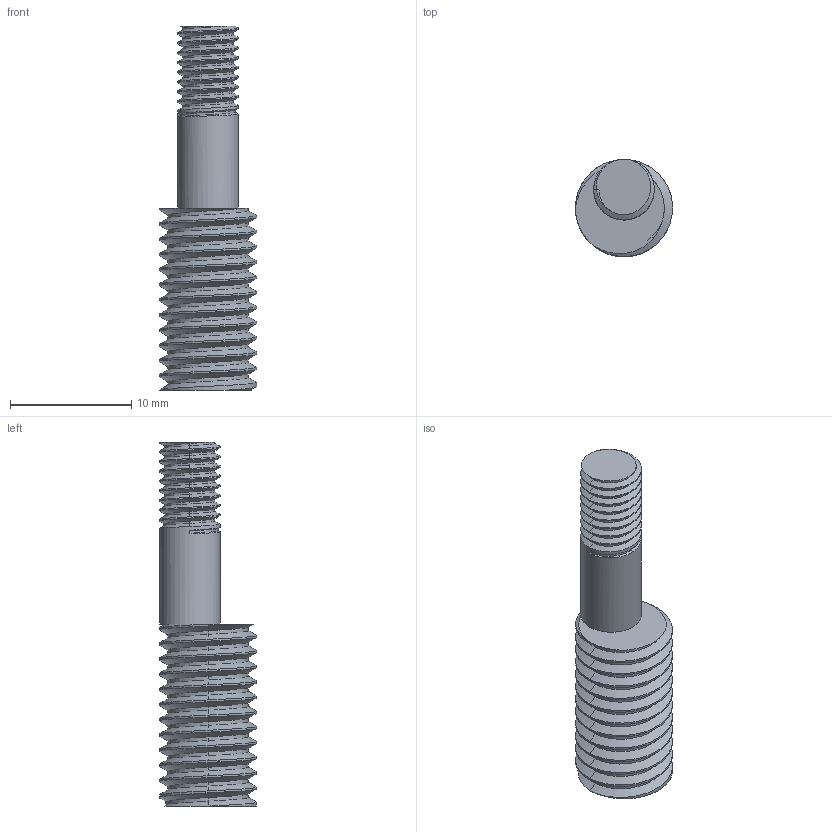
import cadquery as cq
import math

STUD_DIAMETER = 8.0
STUD_LENGTH = 15.0
STUD_PITCH = 1.25
STUD_THREAD_START = -0.71

PIN_DIAMETER = 5.0
PIN_LENGTH = 15.0
PIN_PITCH = 0.8
PIN_THREAD_START = 7.58
PIN_OFFSET = (STUD_DIAMETER - PIN_DIAMETER) / 2

CREST_FLAT_RATIO = 1 / 8
ROOT_FLAT_RATIO = 1 / 4
THREAD_ANGLE = 60
FLANK_SLOPE = math.tan(math.radians(THREAD_ANGLE / 2))
DEPTH_RATIO = (1 - CREST_FLAT_RATIO - ROOT_FLAT_RATIO) / (2 * FLANK_SLOPE)
RUNOUT_START_DEPTH = 0.08
CUTTER_OVERSHOOT = 0.03


def helix_turn(start_radius, start_z, end_radius, end_z):
    """One right-hand turn of a cylindrical or conical helix, starting at -X."""
    rise = end_z - start_z
    if start_radius == end_radius:
        wire = cq.Wire.makeHelix(rise, rise, start_radius)
    else:
        taper = math.atan2(end_radius - start_radius, rise)
        slant = rise / math.cos(taper)
        wire = cq.Wire.makeHelix(slant, slant, start_radius, angle=math.degrees(taper))
    return wire.rotate(cq.Vector(0, 0, 0), cq.Vector(0, 0, 1), 180).translate(cq.Vector(0, 0, start_z))


def groove_section(crest_radius, pitch, depth, middle_z):
    """Corners (radius, z) of the groove profile at one point along the thread."""
    half_root = pitch * ROOT_FLAT_RATIO / 2
    half_mouth = half_root + (depth + CUTTER_OVERSHOOT) * FLANK_SLOPE
    root_radius = crest_radius - depth
    mouth_radius = crest_radius + CUTTER_OVERSHOOT
    return [
        (mouth_radius, middle_z - half_mouth),
        (root_radius, middle_z - half_root),
        (root_radius, middle_z + half_root),
        (mouth_radius, middle_z + half_mouth),
    ]


def groove_turn(crest_radius, pitch, start_z, start_depth, end_depth):
    """Cutter for one turn of thread groove whose depth changes evenly from start to end."""
    start = groove_section(crest_radius, pitch, start_depth, start_z)
    end = groove_section(crest_radius, pitch, end_depth, start_z + pitch)
    edges = [helix_turn(*start_corner, *end_corner) for start_corner, end_corner in zip(start, end)]
    faces = [cq.Face.makeRuledSurface(edges[i - 1], edges[i]) for i in range(len(edges))]
    for corners in ([edge.startPoint() for edge in edges], [edge.endPoint() for edge in edges]):
        faces.append(cq.Face.makeFromWires(cq.Wire.makePolygon(corners, close=True)))
    return cq.Workplane(cq.Solid.makeSolid(cq.Shell.makeShell(faces)))


def threaded_rod(diameter, length, pitch, start_z):
    """Rod on Z whose groove fades in over one turn from start_z, then runs out of the top face."""
    radius = diameter / 2
    full_depth = DEPTH_RATIO * pitch
    runout = groove_turn(radius, pitch, start_z, RUNOUT_START_DEPTH, full_depth)
    rod = cq.Workplane("XY").circle(radius).extrude(length).cut(runout)
    full_turns = math.ceil((length - start_z) / pitch)
    for turn in range(1, full_turns + 1):
        rod = rod.cut(groove_turn(radius, pitch, start_z + turn * pitch, full_depth, full_depth))
    return rod


stud = threaded_rod(STUD_DIAMETER, STUD_LENGTH, STUD_PITCH, STUD_THREAD_START)
pin = threaded_rod(PIN_DIAMETER, PIN_LENGTH, PIN_PITCH, PIN_THREAD_START)
result = stud.union(pin.translate((0, PIN_OFFSET, STUD_LENGTH)))